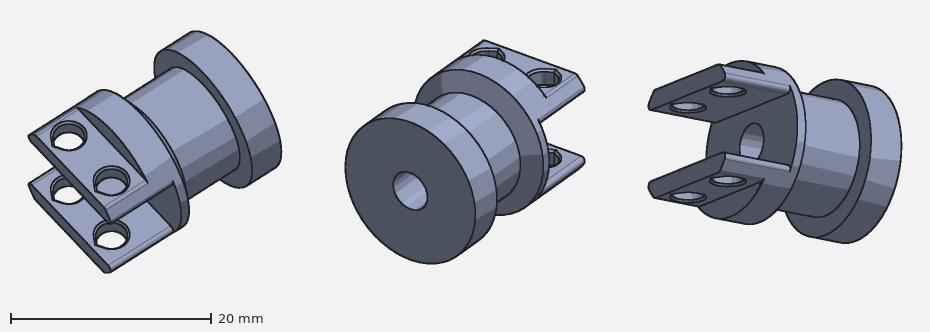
import cadquery as cq
import math

length = 20.6
outer_radius = 8.003
neck_radius = 6.0
bore_radius = 2.1

plate_step_y = 5.35
slot_floor_y = 7.91
cone_start_y = 8.92
cone_end_y = 10.05
flange_thickness = 3.7

plate_inner_z = 3.7
plate_outer_z = 5.65
plate_thickness = plate_outer_z - plate_inner_z
plate_edge_radius = 0.5

hole_radius = 1.59
hole_chamfer = 0.23
chamfer_angle = 45
hole_offset_x = 3.48
hole_center_y = 2.6
point_slope = math.radians(30)


def make_spool():
    """Turned body from the slot floor to the end flange, with its bore."""
    flange_y = length - flange_thickness
    half_section = [
        (bore_radius, slot_floor_y),
        (outer_radius, slot_floor_y),
        (outer_radius, cone_start_y),
        (neck_radius, cone_end_y),
        (neck_radius, flange_y),
        (outer_radius, flange_y),
        (outer_radius, length),
        (bore_radius, length),
    ]
    return cq.Workplane("XY").polyline(half_section).close().revolve(360, (0, 0), (0, 1))


def round_slice(bottom_z, top_z, start_y, end_y):
    """Part of the outer cylinder between two heights and two axial positions."""
    depth = end_y - start_y
    cylinder = cq.Workplane("XZ", origin=(0, start_y, 0)).circle(outer_radius).extrude(-depth)
    slab = cq.Workplane("XY").box(
        2 * outer_radius, depth, top_z - bottom_z, centered=(True, False, False)
    ).translate((0, start_y, bottom_z))
    return cylinder.intersect(slab)


def teardrop_prism(center_x, radius, height, taper=0):
    """Teardrop cutter rising from the inner face of the upper plate."""
    flat_x = radius * math.sin(point_slope)
    flat_y = radius * math.cos(point_slope)
    return (
        cq.Workplane("XY", origin=(center_x, hole_center_y, plate_inner_z))
        .moveTo(flat_x, -flat_y)
        .threePointArc((0, radius), (-flat_x, -flat_y))
        .lineTo(0, -radius / math.cos(point_slope))
        .close()
        .extrude(height, taper=taper)
    )


def make_hole(center_x):
    """Cutter for one teardrop hole, chamfered at both plate faces."""
    bore = teardrop_prism(center_x, hole_radius, plate_thickness)
    inner_chamfer = teardrop_prism(center_x, hole_radius + hole_chamfer, hole_chamfer, taper=chamfer_angle)
    plate_middle = (0, 0, plate_inner_z + plate_thickness / 2)
    outer_chamfer = inner_chamfer.mirror("XY", plate_middle)
    return bore.union(inner_chamfer).union(outer_chamfer)


def make_plate():
    """Upper fork plate with rounded long edges, holes and the backing segment."""
    plate = round_slice(plate_inner_z, plate_outer_z, 0, slot_floor_y)
    plate = plate.edges("|Y").fillet(plate_edge_radius)
    for center_x in (-hole_offset_x, hole_offset_x):
        plate = plate.cut(make_hole(center_x))
    segment_bottom_z = plate_inner_z + plate_thickness / 2
    segment = round_slice(segment_bottom_z, outer_radius, plate_step_y, slot_floor_y)
    return plate.union(segment)


upper_plate = make_plate()
lower_plate = upper_plate.mirror("XY")
result = make_spool().union(upper_plate).union(lower_plate)